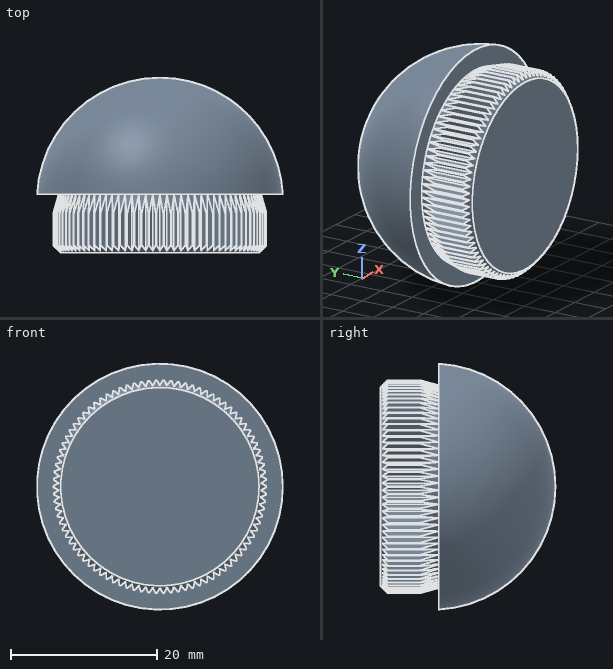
import cadquery as cq
import math

DOME_RADIUS = 16.85
DOME_HEIGHT = 16.0

PLUG_LENGTH = 8.0
TIP_RADIUS = 14.6
ROOT_RADIUS = 13.9
CHAMFER = 1.0
NECK_TAPER_LENGTH = 2.53

TOOTH_COUNT = 90
TOOTH_ANGLE = 60.0

PITCH_ANGLE = 360.0 / TOOTH_COUNT
HALF_PITCH = ROOT_RADIUS * math.sin(math.radians(PITCH_ANGLE / 2))
SHARP_RADIUS = (
    ROOT_RADIUS * math.cos(math.radians(PITCH_ANGLE / 2))
    + HALF_PITCH / math.tan(math.radians(TOOTH_ANGLE / 2))
)


def polar(radius, angle):
    """Point at a radius and an angle in degrees."""
    return (radius * math.cos(math.radians(angle)), radius * math.sin(math.radians(angle)))


def make_dome():
    """Dome on the +Y side, its flat face at Y = 0."""
    ball_radius = (DOME_RADIUS**2 + DOME_HEIGHT**2) / (2 * DOME_HEIGHT)
    ball_centre = DOME_HEIGHT - ball_radius
    mid_offset = ball_radius / math.sqrt(2)
    return (
        cq.Workplane("XY")
        .moveTo(0, 0)
        .lineTo(DOME_RADIUS, 0)
        .threePointArc((mid_offset, ball_centre + mid_offset), (0, DOME_HEIGHT))
        .close()
        .revolve(360, (0, 0, 0), (0, 1, 0))
    )


def make_plug_blank():
    """Turned plug on the -Y side: tapered neck, straight band and chamfered end."""
    return (
        cq.Workplane("XY")
        .polyline([
            (0, 0),
            (ROOT_RADIUS, 0),
            (TIP_RADIUS, -NECK_TAPER_LENGTH),
            (TIP_RADIUS, CHAMFER - PLUG_LENGTH),
            (TIP_RADIUS - CHAMFER, -PLUG_LENGTH),
            (0, -PLUG_LENGTH),
        ])
        .close()
        .revolve(360, (0, 0, 0), (0, 1, 0))
    )


def make_toothed_bar():
    """Straight bar with sharp teeth, as long as the plug; one tooth lies on the X axis."""
    outline = []
    for tooth in range(TOOTH_COUNT):
        angle = tooth * PITCH_ANGLE
        outline.append(polar(SHARP_RADIUS, angle))
        outline.append(polar(ROOT_RADIUS, angle + PITCH_ANGLE / 2))
    return cq.Workplane("XZ").polyline(outline).close().extrude(PLUG_LENGTH)


plug = make_plug_blank().intersect(make_toothed_bar())

result = make_dome().union(plug)